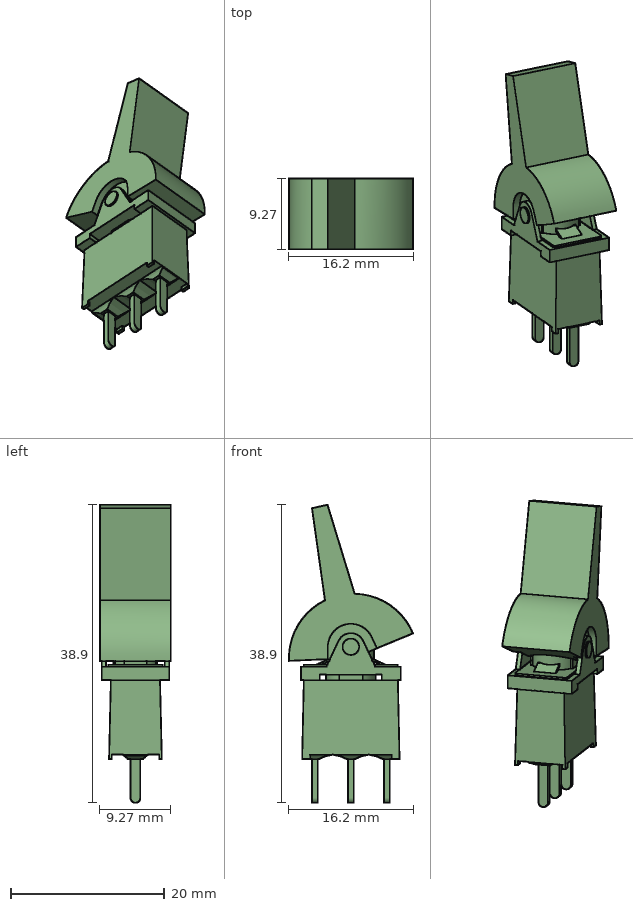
import cadquery as cq
import math


rocker_width = 9.27
rocker_tilt = 12.5
rocker_half_span = 8.30
rocker_corner_z = -0.06
crown_height = 6.90
underside_rise = 9.9
lever_top = 18.76
lever_tip_half = 1.05
lever_root_height = 6.0
lever_root_half = 2.05
recess_radius = 3.0
recess_floor_y = 3.65
recess_flare = rocker_tilt

pivot_diameter = 2.15
pivot_half_length = rocker_width / 2

bracket_half_x = 6.53
bracket_half_y = 4.42
bracket_top = -2.58
bracket_bottom = -4.34
slot_half_x = 4.03
slot_top = -3.63
ear_thickness = 0.61
ear_radius = 1.78
ear_foot_half = 3.2

plate_half_x = 6.15
plate_half_y = 3.58
plate_thickness = 0.25
plate_corner_radius = 0.36
tongue_half_y = 1.47
tongue_root_x = 4.5
tongue_slope = 25.0
tongue_thickness = 0.3

collar_radius = 3.25
collar_flat_y = 2.87
stem_radius = 3.03
stem_flat_y = 2.64
stem_top = 0.0
hub_half_x = 1.5

housing_bottom = -14.65
housing_top_half_x = 6.15
housing_top_half_y = 3.22
housing_bottom_half_x = 6.37
housing_bottom_half_y = 3.46
foot_height = 0.57
foot_inner_x = 5.32
foot_inner_y = 3.08

terminal_pitch = 4.7
terminal_half_x = 0.4
terminal_half_y = 0.65
terminal_tip = -20.37
seal_tip_half_x = 0.55
seal_tip_half_y = 1.0
seal_middle_half_x = 1.35
seal_middle_half_y = 1.35
seal_top_half_x = 2.35
seal_top_half_y = 1.65
seal_lower_height = 0.35

plate_top = bracket_top + plate_thickness
housing_floor = housing_bottom + foot_height
terminal_positions = [-terminal_pitch, 0.0, terminal_pitch]


def box(half_x, half_y, bottom, top):
    """Box centred on the Z axis between two heights."""
    return (
        cq.Workplane("XY")
        .workplane(offset=bottom)
        .rect(2 * half_x, 2 * half_y)
        .extrude(top - bottom)
    )


def tapered_box(bottom_half, bottom, top_half, top):
    """Straight-sided taper between two rectangles given by their half sizes (x, y)."""
    return (
        cq.Workplane("XY")
        .workplane(offset=bottom)
        .rect(2 * bottom_half[0], 2 * bottom_half[1])
        .workplane(offset=top - bottom)
        .rect(2 * top_half[0], 2 * top_half[1])
        .loft(ruled=True)
    )


def extrude_y(outline, y_start, y_end):
    """Extrude an XZ outline between two Y positions."""
    return outline.extrude(y_start - y_end).translate((0, y_start, 0))


def extrude_centred(outline, half_y):
    """Extrude an XZ outline equally to both sides of Y = 0."""
    return extrude_y(outline, -half_y, half_y)


def rocker():
    half_width = rocker_width / 2
    middle_z = rocker_corner_z - rocker_half_span * math.tan(math.radians(underside_rise))
    sector = (
        cq.Workplane("XZ")
        .moveTo(-rocker_half_span, rocker_corner_z)
        .threePointArc((0, crown_height), (rocker_half_span, rocker_corner_z))
        .lineTo(0, middle_z)
        .close()
    )
    lever = cq.Workplane("XZ").polyline([
        (-lever_root_half, lever_root_height),
        (-lever_tip_half, lever_top),
        (lever_tip_half, lever_top),
        (lever_root_half, lever_root_height),
    ]).close()
    body = extrude_centred(sector, half_width).union(extrude_centred(lever, half_width))

    flare = math.radians(recess_flare)
    side_x = recess_radius * math.cos(flare)
    side_z = recess_radius * math.sin(flare)
    recess_bottom = -recess_radius
    foot_x = side_x + (side_z - recess_bottom) * math.tan(flare)
    recess_outline = (
        cq.Workplane("XZ")
        .moveTo(-foot_x, recess_bottom)
        .lineTo(-side_x, side_z)
        .threePointArc((0, recess_radius), (side_x, side_z))
        .lineTo(foot_x, recess_bottom)
        .close()
    )
    recess = extrude_y(recess_outline, recess_floor_y, half_width)
    body = body.cut(recess).cut(recess.mirror("XZ"))
    return body.rotate((0, 0, 0), (0, 1, 0), -rocker_tilt)


def pivot_pin():
    outline = cq.Workplane("XZ").circle(pivot_diameter / 2)
    return extrude_centred(outline, pivot_half_length)


def bracket():
    base = box(bracket_half_x, bracket_half_y, bracket_bottom, bracket_top)
    base = base.cut(box(slot_half_x, bracket_half_y, bracket_bottom, slot_top))

    foot_distance = math.hypot(ear_foot_half, bracket_top)
    tangent_angle = math.atan2(bracket_top, ear_foot_half) + math.acos(ear_radius / foot_distance)
    tangent_x = ear_radius * math.cos(tangent_angle)
    tangent_z = ear_radius * math.sin(tangent_angle)
    ear_outline = (
        cq.Workplane("XZ")
        .moveTo(-ear_foot_half, bracket_top)
        .lineTo(-tangent_x, tangent_z)
        .threePointArc((0, ear_radius), (tangent_x, tangent_z))
        .lineTo(ear_foot_half, bracket_top)
        .close()
    )
    ear = extrude_y(ear_outline, bracket_half_y - ear_thickness, bracket_half_y)
    return base.union(ear).union(ear.mirror("XZ"))


def spring_plate():
    plate = box(plate_half_x, plate_half_y, bracket_top, plate_top)
    plate = plate.edges("|Z").fillet(plate_corner_radius)

    slope = math.radians(tongue_slope)
    inner_x = stem_radius - tongue_thickness
    rise = (tongue_root_x - inner_x) * math.tan(slope)
    drop = tongue_thickness / math.cos(slope)
    tongue_outline = cq.Workplane("XZ").polyline([
        (tongue_root_x, plate_top),
        (inner_x, plate_top + rise),
        (inner_x, plate_top + rise - drop),
        (tongue_root_x, plate_top - drop),
    ]).close()
    tongue = extrude_centred(tongue_outline, tongue_half_y)
    return plate.union(tongue).union(tongue.mirror("YZ"))


def flatted_cylinder(radius, flat_y, bottom, top):
    cylinder = cq.Workplane("XY").workplane(offset=bottom).circle(radius).extrude(top - bottom)
    return cylinder.intersect(box(radius, flat_y, bottom, top))


def bushing():
    collar = flatted_cylinder(collar_radius, collar_flat_y, bracket_bottom, bracket_top)
    stem = flatted_cylinder(stem_radius, stem_flat_y, bracket_top, stem_top)
    hub = box(hub_half_x, collar_flat_y, bracket_top, stem_top)
    return collar.union(stem).union(hub)


def housing():
    bottom_half = (housing_bottom_half_x, housing_bottom_half_y)
    top_half = (housing_top_half_x, housing_top_half_y)
    body = tapered_box(bottom_half, housing_bottom, top_half, bracket_bottom)
    body = body.cut(box(foot_inner_x, housing_bottom_half_y, housing_bottom, housing_floor))
    return body.cut(box(housing_bottom_half_x, foot_inner_y, housing_bottom, housing_floor))


def terminal(x):
    blade = box(terminal_half_x, terminal_half_y, terminal_tip + terminal_half_y, housing_floor)
    round_end = (
        cq.Workplane("YZ")
        .center(0, terminal_tip + terminal_half_y)
        .circle(terminal_half_y)
        .extrude(terminal_half_x, both=True)
    )
    return blade.union(round_end).translate((x, 0, 0))


def seal(x):
    """Sealant around one terminal: a steep taper below a flatter one."""
    middle_z = housing_bottom + seal_lower_height
    tip = (seal_tip_half_x, seal_tip_half_y)
    middle = (seal_middle_half_x, seal_middle_half_y)
    top = (seal_top_half_x, seal_top_half_y)
    lower = tapered_box(tip, housing_bottom, middle, middle_z)
    upper = tapered_box(middle, middle_z, top, housing_floor)
    mound = lower.union(upper).translate((x, 0, 0))
    return mound.intersect(box(housing_bottom_half_x, foot_inner_y, housing_bottom, housing_floor))


result = rocker()
for piece in (pivot_pin(), bracket(), spring_plate(), bushing(), housing()):
    result = result.union(piece)
for position in terminal_positions:
    result = result.union(seal(position)).union(terminal(position))